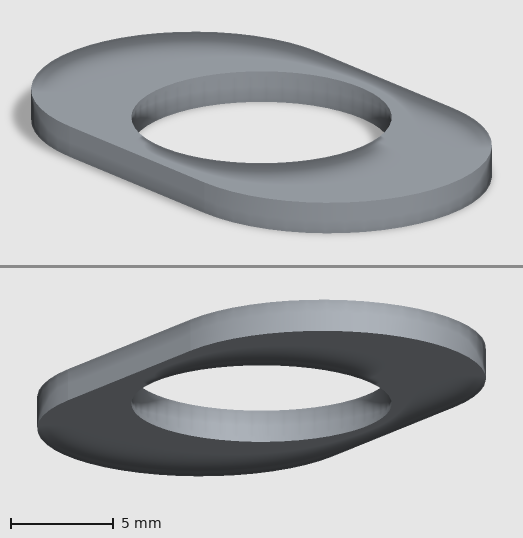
import cadquery as cq

length = 26.05
width = 15.88
thickness = 1.6

hole_diameter = 12.68

plate = cq.Workplane("XY").slot2D(length, width).extrude(thickness)

result = plate.faces(">Z").workplane(origin=(0, 0, thickness)).hole(hole_diameter)